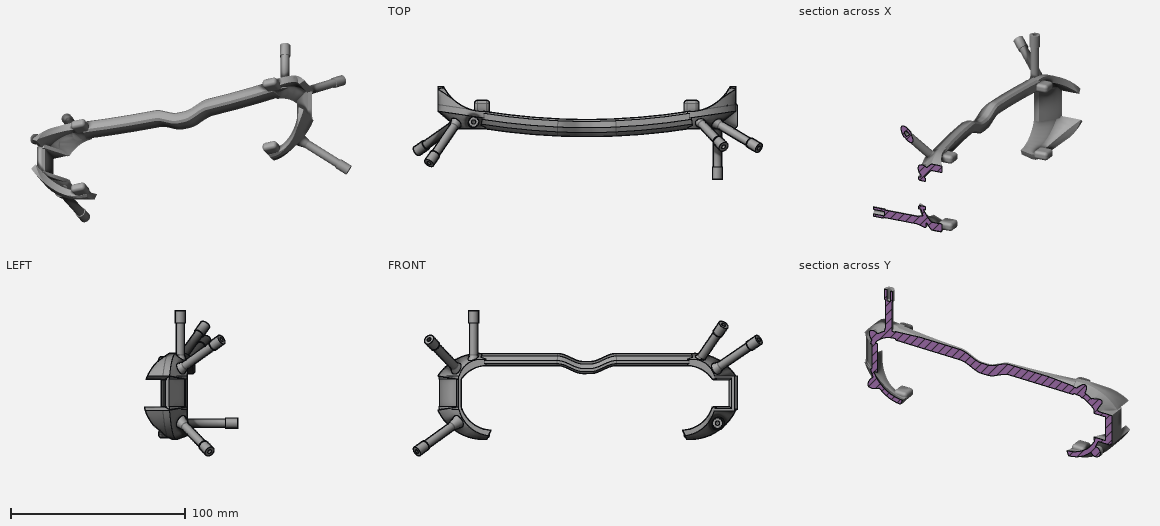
import cadquery as cq
import math

BEAM_BOW_RADIUS = 385.0
BEAM_FRONT_Y = -4.2
BEAM_BOTTOM_Z = 15.4
BEAM_HEIGHT = 7.1
BEAM_DEPTH = 10.0
BEAM_HALF_LENGTH = 61.0
DIP_HALF_LENGTH = 17.0
DIP_DEPTH = 4.6
DIP_FLAT = 2.0
DIP_STATIONS = 16

RIM_Y = 0.3
CREASE_Y = 10.5
CREASE_NOSE_Y = 6.4
FLAP_GAP = 3.8
FLAP_LEAN = 0.8
BACK_Y = 24.79
TEMPLE_X = 85.6
RIM_X = 72.1
RIM_WIDTH = 1.6
WALL = 3.0
ARM_END_X = 58.0
TRIM_MARGIN = 5.0
TRIM_SPAN = 100.0

PLATE_HALF_HEIGHT = 9.6
PLATE_BACK_Y = 15.4
FRAME_HEIGHT = 2.4
LOWER_LEDGE_DROP = 0.9
PLATE_OUT_X = 85.0
PLATE_THICKNESS = 3.0
SQUARE_PLATE_OUT_X = 86.6
SQUARE_PLATE_IN_X = 81.6
PLATE_CHAMFER = 1.6
LEDGE_CHAMFER = 1.1
PANEL_MARGIN = 1.7
PANEL_RECESS = 0.5

LUG_X = 60.2
LUG_SIZE = (8.8, 9.0, 5.0)
LUG_BACK_Y = 16.8
LUG_UPPER_Z = 18.2
LUG_LOWER_Z = -23.6
LUG_FILLET = 1.9

SHAFT_DIAMETER = 5.0
HEAD_DIAMETER = 6.0
HEAD_LENGTH = 7.2
BORE_DIAMETER = 2.46
BORE_DEPTH = HEAD_LENGTH
COLLAR_DIAMETER = 8.0
ROOT_LENGTH = 2.2
UPPER_COLLAR_LENGTH = 2.4
LOWER_COLLAR_LENGTH = 3.6
LONG_POST = 32.0
SHORT_POST = 28.0
INNER_POST_X = 65.0
OUTER_POST_X = 75.1
INNER_POST_BASE = (4.3, 19.1)
UPPER_POST_BASE = (3.4, 14.2)
LOWER_POST_BASE = (3.3, -17.6)


def dip_at(x):
    """Drop of the beam below its straight level at position x."""
    ramp = (abs(x) - DIP_FLAT) / (DIP_HALF_LENGTH - DIP_FLAT)
    ramp = min(1.0, max(0.0, ramp))
    return DIP_DEPTH * (1 + math.cos(math.pi * ramp)) / 2


def beam_section(workplane):
    """Beam cross section: origin at its front bottom corner, first axis to the rear."""
    edge = 1.2
    front_top = 3.0
    shoulder = (2.4, 5.6)
    crown_start = 5.2
    return workplane.polyline([
        (0, edge), (edge, 0), (BEAM_DEPTH - edge, 0), (BEAM_DEPTH, edge),
        (BEAM_DEPTH, BEAM_HEIGHT - edge), (BEAM_DEPTH - edge, BEAM_HEIGHT),
        (crown_start, BEAM_HEIGHT), shoulder, (0, front_top),
    ]).close()


def beam_plane(x):
    """Plane across the bowed beam at position x."""
    angle = math.asin(x / BEAM_BOW_RADIUS)
    front_y = BEAM_FRONT_Y + BEAM_BOW_RADIUS * (1 - math.cos(angle))
    rearward = (-math.sin(angle), math.cos(angle), 0)
    along = (math.cos(angle), math.sin(angle), 0)
    return cq.Plane(origin=(x, front_y, BEAM_BOTTOM_Z - dip_at(x)), xDir=rearward, normal=along)


def make_beam_arm(start_x, end_x):
    """Level stretch of the beam, revolved about the bow's vertical axis."""
    sweep = math.degrees(math.asin(end_x / BEAM_BOW_RADIUS) - math.asin(start_x / BEAM_BOW_RADIUS))
    section = beam_section(cq.Workplane(beam_plane(start_x)))
    return section.revolve(sweep, (BEAM_BOW_RADIUS, 0), (BEAM_BOW_RADIUS, 1))


def make_beam():
    """Dipped middle of the beam with a level arm on either side."""
    sections = []
    for station in range(DIP_STATIONS + 1):
        x = DIP_HALF_LENGTH * (2 * station / DIP_STATIONS - 1)
        sections.append(beam_section(cq.Workplane(beam_plane(x))).val())
    dip = cq.Workplane(cq.Solid.makeLoft(sections, False))
    left = make_beam_arm(-BEAM_HALF_LENGTH, -DIP_HALF_LENGTH)
    right = left.mirror("YZ")
    return dip.union(left).union(right)


def shell_section(depth_at, outer, inner):
    """Closed band between two arcs, each given as (start, middle, end) in X and Z.

    depth_at gives the Y of a point of the band from its X.
    """
    def at(point):
        return cq.Vector(point[0], depth_at(point[0]), point[1])
    edges = [
        cq.Edge.makeThreePointArc(*[at(point) for point in outer]),
        cq.Edge.makeLine(at(outer[2]), at(inner[2])),
        cq.Edge.makeThreePointArc(at(inner[2]), at(inner[1]), at(inner[0])),
        cq.Edge.makeLine(at(inner[0]), at(outer[0])),
    ]
    return cq.Wire.assembleEdges(edges)


def rim_depth(x):
    return RIM_Y


def crease_depth(x):
    return CREASE_NOSE_Y + (CREASE_Y - CREASE_NOSE_Y) * (x - ARM_END_X) / (TEMPLE_X - ARM_END_X)


def flap_depth(x):
    return crease_depth(x) + FLAP_GAP


def flap_back_depth(x):
    return BACK_Y + TRIM_MARGIN


def lean_inward(arc):
    """Arc with its middle and inner end moved toward Z = 0; the temple end stays."""
    start, middle, end = arc
    return (start,) + tuple((x, z - math.copysign(FLAP_LEAN, z)) for x, z in (middle, end))


def make_shell(rim, crease, rear_limit):
    """Flared band on the right side: sloped front facet, narrow strip, then the rear flap."""
    flap_back = [lean_inward(arc) for arc in crease]
    sections = [shell_section(rim_depth, *rim), shell_section(crease_depth, *crease),
                shell_section(flap_depth, *crease), shell_section(flap_back_depth, *flap_back)]
    shell = cq.Workplane(cq.Solid.makeLoft(sections[:2], True))
    for front, back in zip(sections[1:], sections[2:]):
        shell = shell.union(cq.Workplane(cq.Solid.makeLoft([front, back], True)))
    return shell.intersect(make_rear_trim()).intersect(make_side_trim(*rear_limit))


def make_side_trim(low, middle, high):
    """Space in front of an arc given by three (Y, Z) points."""
    front_y = RIM_Y - TRIM_MARGIN
    return (cq.Workplane("YZ").moveTo(*low).threePointArc(middle, high)
            .lineTo(front_y, high[1]).lineTo(front_y, low[1]).close().extrude(TRIM_SPAN))


def make_rear_trim():
    """Space in front of the shells' swept rear edge."""
    inner_x = ARM_END_X - TRIM_MARGIN
    outer_x = TEMPLE_X + TRIM_MARGIN
    front_y = RIM_Y - TRIM_MARGIN
    arm_back_y = 10.2
    sweep_middle = (73.0, 14.4)
    flap_tip = (82.4, BACK_Y)
    return (cq.Workplane("XY").workplane(offset=-TRIM_SPAN / 2)
            .moveTo(inner_x, front_y).lineTo(inner_x, arm_back_y).lineTo(ARM_END_X, arm_back_y)
            .threePointArc(sweep_middle, flap_tip)
            .lineTo(outer_x, BACK_Y).lineTo(outer_x, front_y).close()
            .extrude(TRIM_SPAN))


def make_upper_shell():
    """Shell above the temple plate, ending in the beam."""
    low_z = 7.6
    rim = (((RIM_X + RIM_WIDTH, low_z), (69.4, 15.9), (ARM_END_X, 18.8)),
           ((RIM_X, low_z), (66.2, 13.1), (ARM_END_X, 15.4)))
    crease = (((TEMPLE_X, low_z + 2), (75.2, 19.1), (ARM_END_X, 22.4)),
              ((TEMPLE_X - WALL, low_z), (73.0, 15.9), (ARM_END_X, 16.6)))
    rear_limit = ((24.2, 7.0), (19.6, 15.5), (9.5, 23.2))
    return make_shell(rim, crease, rear_limit)


def make_lower_shell():
    """Shell below the temple plate, ending in a free tip."""
    high_z = -8.2
    tip = (57.4, -27.0)
    rim = (((RIM_X + RIM_WIDTH, high_z), (68.3, -19.0), (56.4, -24.8)),
           ((RIM_X, high_z), (66.0, -17.4), (54.9, -21.6)))
    crease = (((TEMPLE_X, high_z - 2), (75.2, -22.2), tip),
              ((TEMPLE_X - WALL, high_z), (72.6, -18.9), (56.0, -23.4)))
    rear_limit = ((25.2, -8.0), (21.8, -16.0), (7.0, -27.6))
    return make_shell(rim, crease, rear_limit)


def make_lug(z):
    """Rounded block behind the inner end of a shell."""
    length, depth, height = LUG_SIZE
    return (cq.Workplane("XY").box(length, depth, height).edges().fillet(LUG_FILLET)
            .translate((LUG_X, LUG_BACK_Y - depth / 2, z)))


def make_side():
    """Shells and lugs of the right side."""
    return (make_upper_shell().union(make_lower_shell())
            .union(make_lug(LUG_UPPER_Z)).union(make_lug(LUG_LOWER_Z)))


def make_left_plate():
    """Sloped plate with a recessed outer panel."""
    full_height = 2 * PLATE_HALF_HEIGHT
    front = cq.Vector(-RIM_X - RIM_WIDTH, RIM_Y, 0)
    rear = cq.Vector(-PLATE_OUT_X, CREASE_Y, 0)
    slope = rear - front
    outward = cq.Vector(-slope.y, slope.x, 0).normalized()
    inward = outward * -PLATE_THICKNESS
    plate = (cq.Workplane("XY").workplane(offset=-PLATE_HALF_HEIGHT)
             .polyline([(-RIM_X, RIM_Y), front.toTuple()[:2], rear.toTuple()[:2],
                        (rear + inward).toTuple()[:2], (-RIM_X, RIM_Y + PLATE_THICKNESS)]).close()
             .extrude(full_height))
    panel_plane = cq.Plane(origin=rear, xDir=slope * -1, normal=outward)
    panel = (cq.Workplane(panel_plane)
             .rect(2 * (slope.Length - PANEL_MARGIN), full_height - 2 * PANEL_MARGIN)
             .extrude(-PANEL_RECESS))
    return plate.cut(panel)


def make_right_plate():
    """Square plate joined to the shells by a ledge above and below its opening."""
    depth = PLATE_BACK_Y - RIM_Y
    plate = (cq.Workplane("XY")
             .box(SQUARE_PLATE_OUT_X - SQUARE_PLATE_IN_X, depth, 2 * PLATE_HALF_HEIGHT,
                  centered=(False, False, True))
             .translate((SQUARE_PLATE_IN_X, RIM_Y, 0))
             .edges("|Z").chamfer(PLATE_CHAMFER))
    ledge = (cq.Workplane("XY").workplane(offset=PLATE_HALF_HEIGHT - FRAME_HEIGHT)
             .polyline([(RIM_X, RIM_Y), (SQUARE_PLATE_OUT_X - PLATE_CHAMFER, RIM_Y),
                        (SQUARE_PLATE_OUT_X - PLATE_CHAMFER, PLATE_BACK_Y),
                        (SQUARE_PLATE_IN_X, PLATE_BACK_Y)]).close()
             .extrude(FRAME_HEIGHT)
             .faces("<Y").edges("<Z").chamfer(LEDGE_CHAMFER))
    lower_ledge = ledge.mirror("XY").translate((0, 0, -LOWER_LEDGE_DROP))
    return plate.union(ledge).union(lower_ledge)


def make_post(base, direction, length, collar_length):
    """Round post with a collar at its base and a bored head at its tip."""
    plane = cq.Plane(origin=base, normal=direction)
    root = cq.Workplane(plane).workplane(offset=-ROOT_LENGTH)
    shaft = root.circle(SHAFT_DIAMETER / 2).extrude(ROOT_LENGTH + length)
    head = (cq.Workplane(plane).workplane(offset=length - HEAD_LENGTH)
            .circle(HEAD_DIAMETER / 2).extrude(HEAD_LENGTH))
    collar = (root.circle(COLLAR_DIAMETER / 2)
              .workplane(offset=ROOT_LENGTH + collar_length).circle(SHAFT_DIAMETER / 2).loft())
    bore = (cq.Workplane(plane).workplane(offset=length - BORE_DEPTH)
            .circle(BORE_DIAMETER / 2).extrude(BORE_DEPTH))
    return shaft.union(head).union(collar).cut(bore)


POSTS = [
    ((-INNER_POST_X, *INNER_POST_BASE), (0, 0, 1), SHORT_POST, UPPER_COLLAR_LENGTH),
    ((-OUTER_POST_X, *UPPER_POST_BASE), (-15.6, -22.8, 16.3), LONG_POST, UPPER_COLLAR_LENGTH),
    ((-OUTER_POST_X, *LOWER_POST_BASE), (-22.8, -16, -16.5), LONG_POST, LOWER_COLLAR_LENGTH),
    ((INNER_POST_X, *INNER_POST_BASE), (13.5, -14.2, 19.7), SHORT_POST, UPPER_COLLAR_LENGTH),
    ((OUTER_POST_X, *UPPER_POST_BASE), (23.8, -14.1, 16.2), LONG_POST, UPPER_COLLAR_LENGTH),
    ((OUTER_POST_X, *LOWER_POST_BASE), (0, -1, 0), LONG_POST, LOWER_COLLAR_LENGTH),
]

right_side = make_side()
result = make_beam().union(right_side).union(right_side.mirror("YZ"))
result = result.union(make_left_plate()).union(make_right_plate())
for post in POSTS:
    result = result.union(make_post(*post))